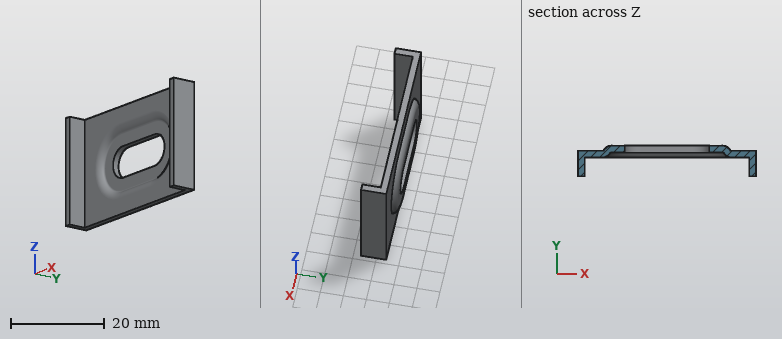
import cadquery as cq
import math

length = 38.0
height = 24.0
thickness = 1.5
flange_depth = 5.5

slot_radius = 3.5
slot_center_distance = 11.0

dish_depth = 1.1
dish_floor_radius = 6.25
inside_bend_radius = 0.5
outside_bend_radius = inside_bend_radius + thickness

web_front = -thickness
flange_front = -flange_depth
dish_floor = web_front + dish_depth
dish_back = dish_depth

floor_bend_y = dish_floor - inside_bend_radius
rim_bend_y = web_front + outside_bend_radius
bend_rise = rim_bend_y - floor_bend_y
bend_span = math.sqrt((inside_bend_radius + outside_bend_radius) ** 2 - bend_rise**2)
dish_rim_radius = dish_floor_radius + bend_span
wall_angle = math.atan2(bend_rise, bend_span)

bulge_base_angle = math.asin(-floor_bend_y / outside_bend_radius)


def bend_point(center_radius, center_y, bend_radius, angle):
    """Point on a bend arc, as distance from the slot axis and Y."""
    return (
        center_radius + bend_radius * math.cos(angle),
        center_y + bend_radius * math.sin(angle),
    )


def channel():
    """Web and two flanges, extruded along Z."""
    half_length = length / 2
    inner_half = half_length - thickness
    return (
        cq.Workplane("XY")
        .polyline(
            [
                (-half_length, 0),
                (half_length, 0),
                (half_length, flange_front),
                (inner_half, flange_front),
                (inner_half, web_front),
                (-inner_half, web_front),
                (-inner_half, flange_front),
                (-half_length, flange_front),
            ]
        )
        .close()
        .extrude(height / 2, both=True)
    )


def bulge_profile(workplane):
    """Half section of the raised metal, from the web front to the back of the bulge."""
    floor_bend = (dish_floor_radius, floor_bend_y, outside_bend_radius)
    arc_middle = bend_point(*floor_bend, (math.pi / 2 + bulge_base_angle) / 2)
    base = bend_point(*floor_bend, bulge_base_angle)
    return (
        workplane.moveTo(0, web_front)
        .lineTo(0, dish_back)
        .lineTo(dish_floor_radius, dish_back)
        .threePointArc(arc_middle, base)
        .lineTo(base[0], web_front)
        .close()
    )


def dish_profile(workplane):
    """Half section of the hollow in front of the dish floor."""
    floor_bend = (dish_floor_radius, floor_bend_y, inside_bend_radius)
    rim_bend = (dish_rim_radius, rim_bend_y, outside_bend_radius)
    floor_arc_middle = bend_point(*floor_bend, (math.pi / 2 + wall_angle) / 2)
    tangent_point = bend_point(*floor_bend, wall_angle)
    rim_arc_middle = bend_point(*rim_bend, math.pi + (wall_angle + math.pi / 2) / 2)
    return (
        workplane.moveTo(0, web_front)
        .lineTo(0, dish_floor)
        .lineTo(dish_floor_radius, dish_floor)
        .threePointArc(floor_arc_middle, tangent_point)
        .threePointArc(rim_arc_middle, (dish_rim_radius, web_front))
        .close()
    )


def oblong_solid(profile):
    """Sweep a half section around the slot: a turned body at each end, straight bodies between them."""
    half_distance = slot_center_distance / 2
    upper_half = profile(cq.Workplane("ZY", origin=(-half_distance, 0, 0))).extrude(-slot_center_distance)
    solid = upper_half.union(upper_half.mirror("XY"))
    for end_x in (-half_distance, half_distance):
        end_body = profile(cq.Workplane("XY", origin=(end_x, 0, 0))).revolve(360, (0, 0, 0), (0, 1, 0))
        solid = solid.union(end_body)
    return solid


def slot_cutter():
    """Oblong hole through the dish floor."""
    slot_length = slot_center_distance + 2 * slot_radius
    return (
        cq.Workplane("XZ", origin=(0, dish_back, 0))
        .slot2D(slot_length, 2 * slot_radius)
        .extrude(dish_back - web_front)
    )


result = (
    channel()
    .union(oblong_solid(bulge_profile))
    .cut(oblong_solid(dish_profile))
    .cut(slot_cutter())
)